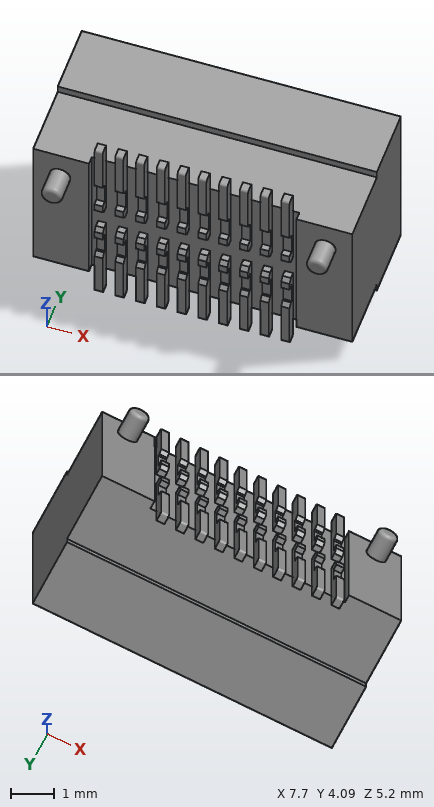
import cadquery as cq


housing_length = 7.7
housing_depth = 3.44
flange_depth = 1.7
flange_height = 4.4
core_height = 4.0

recess_length = 5.005
recess_depth = 0.2

contacts_per_row = 10
contact_pitch = 0.5
contact_width = 0.2
contact_thickness = 0.255
contact_inner_z = 0.3
contact_span = 5.2
toe_length = 0.315
neck_length = 0.59
neck_thickness = 0.11
bend_chamfer = 0.1
lead_back_radius = 0.05
lead_front_radius = 0.06

peg_spacing = 6.4
peg_z = 1.25
peg_diameter = 0.5
peg_length = 0.655
peg_tip_radius = 0.1


def make_housing():
    core = cq.Workplane("XY").box(
        housing_length, housing_depth, core_height, centered=(True, False, True)
    )
    flange = (
        cq.Workplane("XY")
        .box(housing_length, flange_depth, flange_height, centered=(True, False, True))
        .translate((0, housing_depth - flange_depth, 0))
    )
    recess = cq.Workplane("XY").box(
        recess_length, recess_depth, core_height, centered=(True, False, True)
    )
    return core.union(flange).cut(recess)


def make_upper_contact():
    """One contact of the upper row, centred on X = 0 and lying on the recess floor."""
    outer_z = contact_span / 2
    back_y = recess_depth
    front_y = back_y - contact_thickness
    neck_y = back_y - neck_thickness
    chamfer_y = front_y + bend_chamfer
    toe_end_z = contact_inner_z + toe_length
    lead_start_z = toe_end_z + neck_length
    contact = (
        cq.Workplane("YZ")
        .moveTo(back_y, contact_inner_z)
        .lineTo(chamfer_y, contact_inner_z)
        .lineTo(front_y, contact_inner_z + bend_chamfer)
        .lineTo(front_y, toe_end_z)
        .lineTo(neck_y, toe_end_z)
        .lineTo(neck_y, lead_start_z)
        .lineTo(chamfer_y, lead_start_z)
        .lineTo(front_y, lead_start_z + bend_chamfer)
        .lineTo(front_y, outer_z)
        .lineTo(back_y, outer_z)
        .close()
        .extrude(contact_width / 2, both=True)
    )
    contact = contact.faces(">Z").edges(">Y").fillet(lead_back_radius)
    return contact.faces(">Z").edges("<Y").fillet(lead_front_radius)


def make_peg(x):
    return (
        cq.Workplane("XZ")
        .center(x, peg_z)
        .circle(peg_diameter / 2)
        .extrude(peg_length)
        .faces("<Y")
        .edges()
        .fillet(peg_tip_radius)
    )


result = make_housing()

upper_contact = make_upper_contact()
lower_contact = upper_contact.mirror("XY")
first_contact_x = -contact_pitch * (contacts_per_row - 1) / 2
for i in range(contacts_per_row):
    offset = (first_contact_x + i * contact_pitch, 0, 0)
    result = result.union(upper_contact.translate(offset))
    result = result.union(lower_contact.translate(offset))

for side in (-1, 1):
    result = result.union(make_peg(side * peg_spacing / 2))